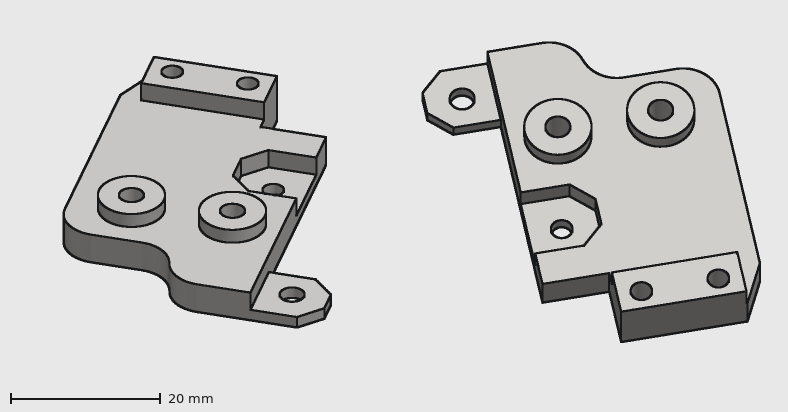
import cadquery as cq
import math

length = 46.4
plate_width = 29.2
plate_height = 4.5
corner_radius = 5.0
front_step = 7.55
front_foot_x = 21.75
notch_x = 20.1
notch_y = 38.15
chamfer_x = 2.88
chamfer_y = 6.0

block_x = 3.0
block_depth = 6.45
block_top = 7.3
block_holes_x = (6.3, 16.8)
block_hole_y = 43.65

boss_diameter = 9.0
boss_top = 6.6
boss_centers = [(8.55, 15.08), (22.55, 15.08)]

thin_height = 1.7
bevel = 2.95
tab_end_x = 38.6
tab_width = 9.3
tab_hole = (33.6, 4.95)
pocket_end_x = 19.58
pocket_front_y = 23.1
pocket_back_y = 33.1
pocket_hole = (24.6, (pocket_front_y + pocket_back_y) / 2)

small_hole = 2.88
large_hole = 3.35


def make_plate():
    """Plate with an S-shaped step made of two tangent arcs in its front edge."""
    hollow_center_y = front_step - corner_radius
    rise = corner_radius - hollow_center_y
    hollow_x = front_foot_x - math.sqrt((2 * corner_radius) ** 2 - rise**2)
    meeting_point = ((hollow_x + front_foot_x) / 2, (hollow_center_y + corner_radius) / 2)
    return (
        cq.Workplane("XY")
        .moveTo(0, front_step + corner_radius)
        .radiusArc((corner_radius, front_step), -corner_radius)
        .lineTo(hollow_x, front_step)
        .radiusArc(meeting_point, corner_radius)
        .radiusArc((front_foot_x, 0), -corner_radius)
        .lineTo(plate_width, 0)
        .lineTo(plate_width, notch_y)
        .lineTo(notch_x, notch_y)
        .lineTo(notch_x, length)
        .lineTo(chamfer_x, length)
        .lineTo(0, length - chamfer_y)
        .close()
        .extrude(plate_height)
    )


def beveled_tongue(end_x, front_y, back_y, bottom, top):
    """Tongue from the plate's right edge to end_x, with both end corners beveled."""
    bevel_x = end_x - math.copysign(bevel, end_x - plate_width)
    return (
        cq.Workplane("XY", origin=(0, 0, bottom))
        .polyline([
            (plate_width, front_y),
            (bevel_x, front_y),
            (end_x, front_y + bevel),
            (end_x, back_y - bevel),
            (bevel_x, back_y),
            (plate_width, back_y),
        ])
        .close()
        .extrude(top - bottom)
    )


def make_block():
    return cq.Workplane("XY").box(
        notch_x - block_x, block_depth, block_top, centered=False
    ).translate((block_x, length - block_depth, 0))


def cylinders(centers, diameter, height):
    return cq.Workplane("XY").pushPoints(centers).circle(diameter / 2).extrude(height)


tab = beveled_tongue(tab_end_x, 0, tab_width, 0, thin_height)
pocket = beveled_tongue(pocket_end_x, pocket_front_y, pocket_back_y, thin_height, plate_height)
small_hole_centers = [(x, block_hole_y) for x in block_holes_x] + [pocket_hole]
large_hole_centers = boss_centers + [tab_hole]

result = (
    make_plate()
    .cut(pocket)
    .union(tab)
    .union(make_block())
    .union(cylinders(boss_centers, boss_diameter, boss_top))
    .cut(cylinders(small_hole_centers, small_hole, block_top))
    .cut(cylinders(large_hole_centers, large_hole, boss_top))
)